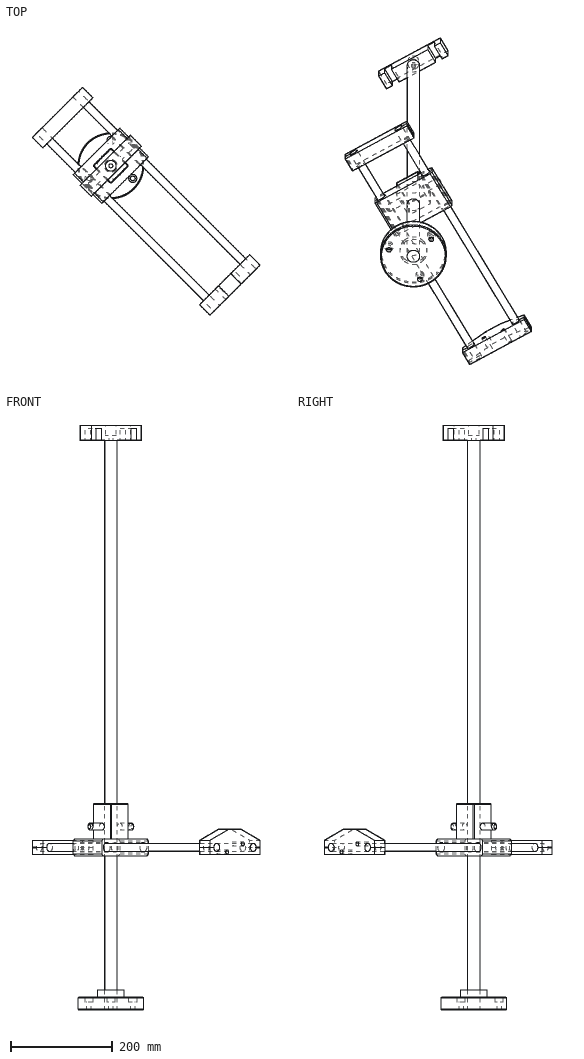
import cadquery as cq
import math

FRAME_ANGLE = -45.04

TOTAL_HEIGHT = 1155
COLUMN_DIAMETER = 25
FLANGE_DIAMETER = 130
FLANGE_THICKNESS = 26
FLANGE_CHAMFER = 2
HUB_DIAMETER = 53
HUB_HEIGHT = 14
BOLT_CIRCLE_RADIUS = 50
BOLT_ANGLES = (90, 210, 330)
BOLT_HOLE_DIAMETER = 9
COUNTERBORE_DIAMETER = 16
COUNTERBORE_DEPTH = 10

ROD_DIAMETER = 16
ROD_SPACING = 102
ROD_START = -149
ROD_LENGTH = 496
ROD_HEIGHT = 321.5
ROD_OFFSETS = (-ROD_SPACING / 2, ROD_SPACING / 2)

BAR_LENGTH = 140
BAR_WIDTH = 29
BAR_HEIGHT = 28
SLIT_WIDTH = 0.5

HUMP_HEIGHT = 22
HUMP_FLAT = 34
SMALL_HOLE_DIAMETER = 8
SMALL_HOLE_PLACES = ((22, 7), (-22, -9))

TOP_BAR_LENGTH = 140
TOP_BAR_WIDTH = 31
TOP_BAR_HEIGHT = 30
TOP_SLOT_WIDTH = 15
TOP_SLOT_HEIGHT = 24
TOP_SLOT_SPACING = 98
TOP_SCREW_HOLE_DIAMETER = 8
TOP_RECESS_DIAMETER = 21
TOP_RECESS_DEPTH = 20

SLIDE_LENGTH = 80
SLIDE_WIDTH = 130
SLIDE_HEIGHT = 34
SLIDE_CHAMFER = 4
SLIDE_BORE_DIAMETER = 19
TOWER_SIZE = 50
TOWER_TOP = 408
TOWER_CHAMFER = 1.5
SCREW_HEIGHT = 362.5
SCREW_DIAMETER = 14
SCREW_REACH = 60
SCREW_CHAMFER = 3

TOP_BAR_BOTTOM = TOTAL_HEIGHT - TOP_BAR_HEIGHT


def turned(body):
    """Turn a body of the frame to its final direction about the column axis."""
    return body.rotate((0, 0, 0), (0, 0, 1), FRAME_ANGLE)


def cylinder_up(diameter, bottom, top):
    """A cylinder on the column axis."""
    return cq.Workplane("XY", origin=(0, 0, bottom)).circle(diameter / 2).extrude(top - bottom)


def block_up(length, width, bottom, height, x=0, y=0):
    """A block centred on (x, y) that stands on the level `bottom`."""
    return cq.Workplane("XY", origin=(x, y, bottom)).rect(length, width).extrude(height)


def make_column():
    return cylinder_up(COLUMN_DIAMETER, 0, TOP_BAR_BOTTOM)


def cylinder_along_rod(diameter, offset):
    """A cylinder as long as a rod and on a rod's axis."""
    plane = cq.Workplane("YZ", origin=(ROD_START, offset, ROD_HEIGHT))
    return plane.circle(diameter / 2).extrude(ROD_LENGTH)


def make_rod(offset):
    return cylinder_along_rod(ROD_DIAMETER, offset)


def make_base():
    flange = cylinder_up(FLANGE_DIAMETER, 0, FLANGE_THICKNESS).edges().chamfer(FLANGE_CHAMFER)
    hub = cylinder_up(HUB_DIAMETER, 0, FLANGE_THICKNESS + HUB_HEIGHT)
    base = flange.union(hub).cut(make_column())
    for angle in BOLT_ANGLES:
        x = BOLT_CIRCLE_RADIUS * math.cos(math.radians(angle))
        y = BOLT_CIRCLE_RADIUS * math.sin(math.radians(angle))
        hole = cylinder_up(BOLT_HOLE_DIAMETER, 0, FLANGE_THICKNESS)
        counterbore = cylinder_up(
            COUNTERBORE_DIAMETER, FLANGE_THICKNESS - COUNTERBORE_DEPTH, FLANGE_THICKNESS
        )
        base = base.cut(hole.union(counterbore).translate((x, y, 0)))
    return base


def make_end_bar(start):
    """A plain bar from X = start, bored for both rods and slit from each bore to its end."""
    middle = start + BAR_WIDTH / 2
    bar = block_up(BAR_WIDTH, BAR_LENGTH, ROD_HEIGHT - BAR_HEIGHT / 2, BAR_HEIGHT, middle)
    slit_length = (BAR_LENGTH - ROD_SPACING) / 2
    slit_offset = (BAR_LENGTH - slit_length) / 2
    for side in (-1, 1):
        slit = block_up(
            BAR_WIDTH, slit_length, ROD_HEIGHT - SLIT_WIDTH / 2, SLIT_WIDTH, middle, side * slit_offset
        )
        bar = bar.cut(slit)
    for offset in ROD_OFFSETS:
        bar = bar.cut(make_rod(offset))
    return bar


def make_humped_bar():
    start = ROD_START + ROD_LENGTH - BAR_WIDTH
    hump = (
        cq.Workplane("YZ", origin=(start, 0, ROD_HEIGHT + BAR_HEIGHT / 2))
        .moveTo(-BAR_LENGTH / 2, 0)
        .lineTo(BAR_LENGTH / 2, 0)
        .lineTo(HUMP_FLAT / 2, HUMP_HEIGHT)
        .lineTo(-HUMP_FLAT / 2, HUMP_HEIGHT)
        .close()
        .extrude(BAR_WIDTH)
    )
    small_holes = (
        cq.Workplane("YZ", origin=(start, 0, ROD_HEIGHT))
        .pushPoints(SMALL_HOLE_PLACES)
        .circle(SMALL_HOLE_DIAMETER / 2)
        .extrude(BAR_WIDTH)
    )
    return make_end_bar(start).union(hump).cut(small_holes)


def make_top_bar():
    bar = block_up(TOP_BAR_WIDTH, TOP_BAR_LENGTH, TOP_BAR_BOTTOM, TOP_BAR_HEIGHT)
    for side in (-1, 1):
        slot_offset = side * TOP_SLOT_SPACING / 2
        bar = bar.cut(
            block_up(TOP_BAR_WIDTH, TOP_SLOT_WIDTH, TOP_BAR_BOTTOM, TOP_SLOT_HEIGHT, y=slot_offset)
        )
    screw_hole = cylinder_up(TOP_SCREW_HOLE_DIAMETER, TOP_BAR_BOTTOM, TOTAL_HEIGHT)
    recess = cylinder_up(TOP_RECESS_DIAMETER, TOTAL_HEIGHT - TOP_RECESS_DEPTH, TOTAL_HEIGHT)
    return bar.cut(screw_hole).cut(recess)


def make_clamp_screws():
    """One cylinder across the tower whose two chamfered ends are the screw heads."""
    return (
        cq.Workplane("XZ", origin=(0, 0, SCREW_HEIGHT))
        .circle(SCREW_DIAMETER / 2)
        .extrude(SCREW_REACH, both=True)
        .edges()
        .chamfer(SCREW_CHAMFER)
    )


def make_carriage():
    slide_top = ROD_HEIGHT + SLIDE_HEIGHT / 2
    slide = block_up(SLIDE_LENGTH, SLIDE_WIDTH, slide_top - SLIDE_HEIGHT, SLIDE_HEIGHT)
    slide = slide.edges("|X").chamfer(SLIDE_CHAMFER)
    tower = block_up(TOWER_SIZE, TOWER_SIZE, slide_top, TOWER_TOP - slide_top)
    tower = tower.edges("|Z or >Z").chamfer(TOWER_CHAMFER)
    carriage = slide.union(tower).union(make_clamp_screws()).cut(make_column())
    for offset in ROD_OFFSETS:
        carriage = carriage.cut(cylinder_along_rod(SLIDE_BORE_DIAMETER, offset))
    return carriage


column = make_column()
base = make_base()
top_bar = turned(make_top_bar())
carriage = turned(make_carriage())
plain_bar = turned(make_end_bar(ROD_START))
humped_bar = turned(make_humped_bar())
rods = [turned(make_rod(offset)) for offset in ROD_OFFSETS]

frame = [carriage, plain_bar, humped_bar, *rods]
result = cq.Compound.makeCompound([body.val() for body in [column, base, top_bar, *frame]])